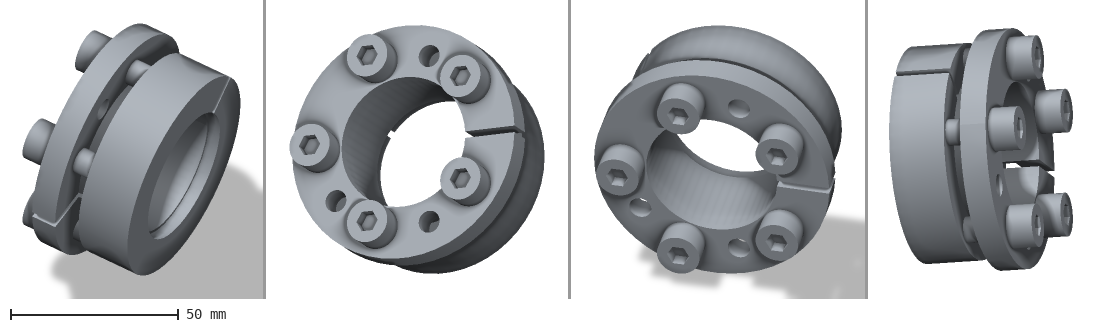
import cadquery as cq
import math


head_length = 8.0
flange_thickness = 8.0
gap_length = 6.05
ring_length = 17.0
ring_start = flange_thickness + gap_length
ring_end = ring_start + ring_length

flange_diameter = 72.0
bore_diameter = 40.0
ring_diameter = 65.0
taper_end_radius = 20.65
taper_angle = 4.5
hub_end = 27.0
slit_width = 2.0
hub_slit_angle = 180.0
ring_slit_angle = 36.0

pitch_radius = 27.0
screw_count = 5
screw_angles = [i * 360.0 / screw_count for i in range(screw_count)]
shank_diameter = 8.0
head_diameter = 13.0
socket_across_flats = 6.0
socket_depth = 4.0
jacking_hole_diameter = 6.8
jacking_hole_angles = [-36.0, 108.0, 252.0]


def cylinder(start, end, diameter):
    """Cylinder on the X axis between two X positions."""
    return cq.Workplane("YZ").workplane(offset=start).circle(diameter / 2).extrude(end - start)


def on_pitch_circle(shape, angle):
    """Move a shape from the X axis to an angle on the pitch circle, without turning it."""
    y = pitch_radius * math.cos(math.radians(angle))
    z = pitch_radius * math.sin(math.radians(angle))
    return shape.translate((0, y, z))


def taper_radius(x):
    return taper_end_radius + (ring_end - x) * math.tan(math.radians(taper_angle))


def taper_cone(start, end):
    """Solid cone on the X axis, following the fit between hub and ring."""
    profile = [(start, 0), (start, taper_radius(start)), (end, taper_radius(end)), (end, 0)]
    return cq.Workplane("XY").polyline(profile).close().revolve(360, (0, 0, 0), (1, 0, 0))


def slit(start, end, angle):
    """Radial cutter from the axis outwards, through one side of the wall."""
    blade = cq.Workplane("XY").box(end - start, flange_diameter, slit_width, centered=(False, False, True))
    return blade.translate((start, 0, 0)).rotate((0, 0, 0), (1, 0, 0), angle)


def cut_screw_holes(body, start, end):
    for angle in screw_angles:
        body = body.cut(on_pitch_circle(cylinder(start, end, shank_diameter), angle))
    return body


def make_hub():
    """Flange and tapered sleeve in one piece, bored and slit along its whole length."""
    hub = cylinder(0, flange_thickness, flange_diameter).union(taper_cone(flange_thickness, hub_end))
    hub = hub.cut(cylinder(0, hub_end, bore_diameter))
    hub = hub.cut(slit(0, hub_end, hub_slit_angle))
    hub = cut_screw_holes(hub, 0, flange_thickness)
    for angle in jacking_hole_angles:
        hub = hub.cut(on_pitch_circle(cylinder(0, flange_thickness, jacking_hole_diameter), angle))
    return hub


def make_ring():
    """Outer ring with a tapered bore, slit through on one side."""
    ring = cylinder(ring_start, ring_end, ring_diameter).cut(taper_cone(ring_start, ring_end))
    ring = ring.cut(slit(ring_start, ring_end, ring_slit_angle))
    return cut_screw_holes(ring, ring_start, ring_end)


def make_screw(angle):
    """Socket head screw whose shank reaches the far face of the ring."""
    screw = cylinder(-head_length, 0, head_diameter).union(cylinder(0, ring_end, shank_diameter))
    across_corners = socket_across_flats / math.cos(math.radians(30))
    socket = cq.Workplane("YZ").workplane(offset=-head_length).polygon(6, across_corners).extrude(socket_depth)
    return on_pitch_circle(screw.cut(socket), angle)


hub = make_hub()
ring = make_ring()
screws = [make_screw(angle) for angle in screw_angles]

result = cq.Compound.makeCompound([hub.val(), ring.val(), *[screw.val() for screw in screws]])